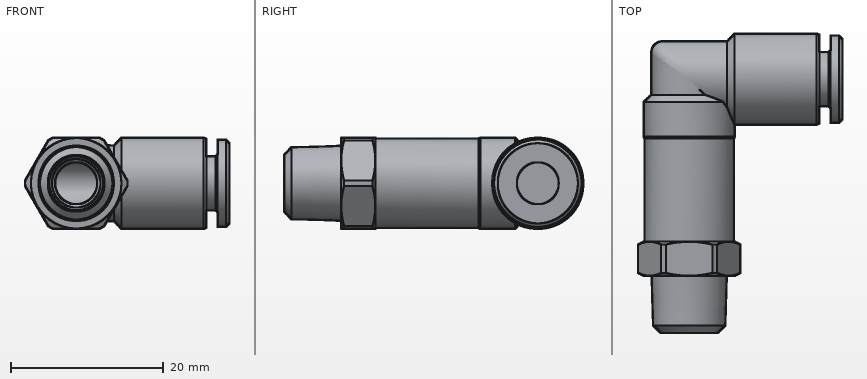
import cadquery as cq
import math


elbow_radius = 5.0
elbow_corner_fillet = 1.5

hex_across_flats = 12.0
hex_corner_radius = 6.72
hex_face_radius = 5.95
hex_chamfer_length = 0.4

overall_length = 39.3
stem_end = overall_length - hex_across_flats / 2
collar_radius = hex_across_flats / 2
collar_cone_start = 2.05
collar_start = 3.0
collar_end = 7.55
collar_bevel_end = 7.8
body_radius = 5.9
hex_start = 21.3
hex_end = 25.82
thread_top_radius = 4.95
thread_tip_radius = 4.75
thread_chamfer_length = 1.0
stem_end_radius = 3.75

socket_radius = hex_across_flats / 2
socket_cone_start = 5.0
socket_start = 5.95
socket_end = 17.1
socket_chamfer = 0.4
socket_chamfer_depth = 0.15

button_neck_radius = 3.58
button_radius = 5.75
button_start = 18.55
button_end = 20.12
button_chamfer = 0.47
button_flare = 0.25

bore_radius = 2.75
stem_bore_radius = 3.2
bore_mouth_radius = 3.55
bore_mouth_depth = 0.25
bore_step_start = collar_end
bore_step_length = stem_bore_radius - bore_radius


def along_stem(profile):
    """Solid of revolution from (radius, distance down the stem) points."""
    points = [(radius, -distance) for radius, distance in profile]
    return cq.Workplane("XY").polyline(points).close().revolve(360, (0, 0), (0, 1))


def along_socket(profile):
    """Solid of revolution from (radius, distance along the socket) points."""
    points = [(distance, radius) for radius, distance in profile]
    return cq.Workplane("XY").polyline(points).close().revolve(360, (0, 0), (1, 0))


def make_elbow():
    """Two equal cylinders mitred at 45 degrees, with the outer mitre edge rounded."""
    reach = 2 * elbow_radius
    stem_leg = (
        cq.Workplane("XZ").workplane(offset=-reach).circle(elbow_radius).extrude(reach + collar_start)
    )
    socket_leg = (
        cq.Workplane("YZ").workplane(offset=-reach).circle(elbow_radius).extrude(reach + socket_start)
    )
    below_mitre = (
        cq.Workplane("XY")
        .polyline([(-reach, reach), (reach, -reach), (-reach, -reach)])
        .close()
        .extrude(elbow_radius, both=True)
    )
    elbow = stem_leg.intersect(below_mitre).union(socket_leg.cut(below_mitre))
    upper_space = cq.Workplane("XY").rect(2 * reach, 2 * reach).extrude(reach)
    outer_corner = (-elbow_radius, elbow_radius, 0)
    upper_half = (
        elbow.intersect(upper_space)
        .edges("%ELLIPSE")
        .edges(cq.selectors.NearestToPointSelector(outer_corner))
        .fillet(elbow_corner_fillet)
    )
    return upper_half.union(upper_half.mirror("XY"))


def make_stem():
    """Collar, plain body and tapered thread blank with its end chamfer."""
    return along_stem([
        (0, collar_cone_start),
        (elbow_radius, collar_cone_start),
        (collar_radius, collar_start),
        (collar_radius, collar_end),
        (body_radius, collar_bevel_end),
        (body_radius, hex_end),
        (thread_top_radius, hex_end),
        (thread_tip_radius, stem_end - thread_chamfer_length),
        (stem_end_radius, stem_end),
        (0, stem_end),
    ])


def make_hexagon():
    """Wrench hexagon with corners on the X axis, turned round and bevelled at both faces."""
    across_corners = hex_across_flats / math.cos(math.pi / 6)
    prism = (
        cq.Workplane("XZ")
        .workplane(offset=hex_start)
        .polygon(6, across_corners)
        .extrude(hex_end - hex_start)
    )
    turned_blank = along_stem([
        (0, hex_start),
        (hex_face_radius, hex_start),
        (hex_corner_radius, hex_start + hex_chamfer_length),
        (hex_corner_radius, hex_end - hex_chamfer_length),
        (hex_face_radius, hex_end),
        (0, hex_end),
    ])
    return prism.intersect(turned_blank)


def make_socket():
    """Tube socket and the release button that stands out of it."""
    return along_socket([
        (0, socket_cone_start),
        (elbow_radius, socket_cone_start),
        (socket_radius, socket_start),
        (socket_radius, socket_end - socket_chamfer),
        (socket_radius - socket_chamfer_depth, socket_end),
        (button_neck_radius, socket_end),
        (button_neck_radius, button_start - button_flare),
        (button_neck_radius + button_flare, button_start),
        (button_radius, button_start),
        (button_radius, button_end - button_chamfer),
        (button_radius - button_chamfer, button_end),
        (0, button_end),
    ])


def make_bores():
    """A stem bore with a conical step down and a conical mouth, and a straight socket bore."""
    stem_bore = along_stem([
        (0, 0),
        (bore_radius, 0),
        (bore_radius, bore_step_start),
        (stem_bore_radius, bore_step_start + bore_step_length),
        (stem_bore_radius, stem_end - bore_mouth_depth),
        (bore_mouth_radius, stem_end),
        (0, stem_end),
    ])
    socket_bore = (
        cq.Workplane("YZ").workplane(offset=-bore_radius).circle(bore_radius).extrude(bore_radius + button_end)
    )
    return stem_bore.union(socket_bore)


outside = make_elbow().union(make_stem()).union(make_hexagon()).union(make_socket())
result = outside.cut(make_bores())